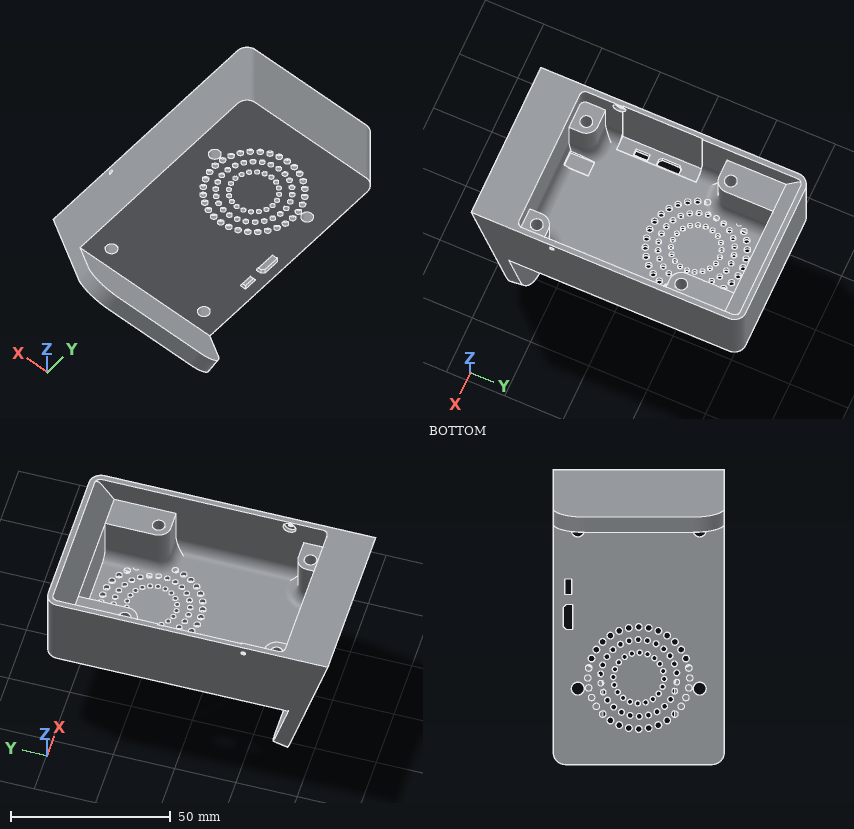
import cadquery as cq
import math


WIDTH = 53.7
LENGTH = 92.5
TOTAL_HEIGHT = 51.9
BOX_HEIGHT = 27.0
BACK_CORNER_RADIUS = 4.0

TILT = math.radians(16)
PLATE_THICKNESS = 5.0
PLATE_CORNER_RADIUS = 10.0

WALL = 1.8
FLOOR_THICKNESS = 2.0
FRONT_WALL = 14.9
CAVITY_CORNER_RADIUS = 1.85
FLOOR_FILLET = 4.0
POST_TOP_DEPTH = 8.6
BACK_SLOPE_RUN = 5.8

POST_RADIUS = 4.0
POST_HOLE_DIAMETER = 4.0
POST_SPACING_X = 38.2
FRONT_POST_Y = 19.05
POST_SPACING_Y = 49.6

GRILLE_Y = 65.3
GRILLE_RINGS = [
    (16.0, 2.0, 32, 0.0),
    (12.0, 1.8, 26, -0.8),
    (7.95, 1.6, 20, 2.2),
]

RECESS_WALL_BITE = 0.3
RECESS_WIDTH = 4.9
RECESS_LENGTH = 27.3
RECESS_Y = 42.45
RECESS_DEPTH = 0.3
LARGE_PORT_WIDTH = 2.9
LARGE_PORT_LENGTH = 7.8
LARGE_PORT_X = -22.2
LARGE_PORT_Y = 46.15
LARGE_PORT_CHAMFER = 0.9
SMALL_PORT_WIDTH = 2.1
SMALL_PORT_LENGTH = 4.8
SMALL_PORT_X = -22.1
SMALL_PORT_Y = 36.7

POCKET_WIDTH = 5.0
POCKET_LENGTH = 8.3
POCKET_X = -11.2
POCKET_Y = 20.2
POCKET_DEPTH = 0.5

SIDE_HOLE_DIAMETER = 1.4
SIDE_BORE_DIAMETER = 4.2
SIDE_BORE_DEPTH = 1.2
SIDE_HOLE_Y = 27.65
SIDE_HOLE_DEPTH = 2.8

FLOOR_Z = FLOOR_THICKNESS - BOX_HEIGHT
CAVITY_WIDTH = WIDTH - 2 * WALL
CAVITY_BACK = LENGTH - WALL
LOWER_BACK = CAVITY_BACK - BACK_SLOPE_RUN
BACK_POST_Y = FRONT_POST_Y + POST_SPACING_Y


def block(x_size, y_min, y_max, z_min, z_max, x_center=0.0):
    """Box given by its width about x_center and its limits in Y and Z."""
    return (
        cq.Workplane("XY", origin=(x_center, (y_min + y_max) / 2, z_min))
        .rect(x_size, y_max - y_min)
        .extrude(z_max - z_min)
    )


def block_at(x, y, x_size, y_size, z_min, z_max):
    """Box centred on (x, y)."""
    return block(x_size, y - y_size / 2, y + y_size / 2, z_min, z_max, x)


def outer_body():
    """Solid box and foot in one side profile, with the round corners."""
    tip_y = TOTAL_HEIGHT * math.tan(TILT)
    inner_tip = (
        tip_y + PLATE_THICKNESS * math.cos(TILT),
        -TOTAL_HEIGHT + PLATE_THICKNESS * math.sin(TILT),
    )
    foot_root_y = BOX_HEIGHT * math.tan(TILT) + PLATE_THICKNESS / math.cos(TILT)
    profile = [
        (0, 0),
        (LENGTH, 0),
        (LENGTH, -BOX_HEIGHT),
        (foot_root_y, -BOX_HEIGHT),
        inner_tip,
        (tip_y, -TOTAL_HEIGHT),
    ]
    body = cq.Workplane("YZ").polyline(profile).close().extrude(WIDTH / 2, both=True)
    body = body.edges("|Z and >Y").fillet(BACK_CORNER_RADIUS)
    across_plate = cq.Vector(0, math.cos(TILT), math.sin(TILT))
    foot_edges = body.edges(cq.selectors.ParallelDirSelector(across_plate))
    return foot_edges.fillet(PLATE_CORNER_RADIUS)


def upper_cavity():
    """Open space above the posts, with a sloped back wall."""
    space = block(CAVITY_WIDTH, FRONT_WALL, CAVITY_BACK, -POST_TOP_DEPTH, 0)
    space = space.edges("|Z").fillet(CAVITY_CORNER_RADIUS)
    slope = (
        cq.Workplane("YZ")
        .polyline([(CAVITY_BACK, 0), (CAVITY_BACK, -POST_TOP_DEPTH), (LOWER_BACK, -POST_TOP_DEPTH)])
        .close()
        .extrude(WIDTH / 2, both=True)
    )
    return space.cut(slope)


def post_footprint(side, y_center, y_wall):
    """Block from a side wall and an end wall to a round corner about the screw hole."""
    x_inner = side * (POST_SPACING_X / 2 - POST_RADIUS)
    x_wall = side * WIDTH / 2
    y_inner = y_center + math.copysign(POST_RADIUS, y_center - y_wall)
    post = (
        cq.Workplane("XY", origin=(0, 0, FLOOR_Z))
        .moveTo(x_inner, y_wall)
        .lineTo(x_wall, y_wall)
        .lineTo(x_wall, y_inner)
        .lineTo(x_inner, y_inner)
        .close()
        .extrude(-POST_TOP_DEPTH - FLOOR_Z)
    )
    corner = cq.selectors.NearestToPointSelector((x_inner, y_inner, (FLOOR_Z - POST_TOP_DEPTH) / 2))
    return post.edges("|Z").edges(corner).fillet(POST_RADIUS)


def lower_cavity():
    """Space between the posts; its floor edges are round except along the back wall."""
    space = block(CAVITY_WIDTH, FRONT_WALL, LOWER_BACK, FLOOR_Z, -POST_TOP_DEPTH)
    for side in (-1, 1):
        space = space.cut(post_footprint(side, FRONT_POST_Y, FRONT_WALL))
        space = space.cut(post_footprint(side, BACK_POST_Y, LOWER_BACK))
    return space.faces("<Z").edges("not >Y").fillet(FLOOR_FILLET)


def post_holes():
    return (
        cq.Workplane("XY", origin=(0, (FRONT_POST_Y + BACK_POST_Y) / 2, -BOX_HEIGHT))
        .rect(POST_SPACING_X, POST_SPACING_Y, forConstruction=True)
        .vertices()
        .circle(POST_HOLE_DIAMETER / 2)
        .extrude(BOX_HEIGHT - POST_TOP_DEPTH)
    )


def grille_holes():
    """Rings of holes through the floor plate only, so the floor fillets cover some of them."""
    floor_bottom = cq.Workplane("XY", origin=(0, GRILLE_Y, -BOX_HEIGHT))
    holes = cq.Workplane("XY")
    for ring_radius, diameter, count, turn in GRILLE_RINGS:
        ring = (
            floor_bottom.polarArray(ring_radius, 90 + turn, 360, count)
            .circle(diameter / 2)
            .extrude(FLOOR_THICKNESS)
        )
        holes = holes.add(ring)
    return holes.combine()


def connector_recess():
    """Recess down the -X wall and slightly into the floor, with the two openings below it."""
    recess_x = -CAVITY_WIDTH / 2 - RECESS_WALL_BITE + RECESS_WIDTH / 2
    recess = block_at(recess_x, RECESS_Y, RECESS_WIDTH, RECESS_LENGTH, FLOOR_Z - RECESS_DEPTH, 0)
    large_port = block_at(
        LARGE_PORT_X, LARGE_PORT_Y, LARGE_PORT_WIDTH, LARGE_PORT_LENGTH, -BOX_HEIGHT, FLOOR_Z
    )
    large_port = large_port.edges("|Z and <X").chamfer(LARGE_PORT_CHAMFER)
    small_port = block_at(
        SMALL_PORT_X, SMALL_PORT_Y, SMALL_PORT_WIDTH, SMALL_PORT_LENGTH, -BOX_HEIGHT, FLOOR_Z
    )
    return recess.union(large_port).union(small_port)


def floor_pocket():
    return block_at(
        POCKET_X, POCKET_Y, POCKET_WIDTH, POCKET_LENGTH, FLOOR_Z - POCKET_DEPTH, FLOOR_Z + FLOOR_FILLET
    )


def side_holes():
    """Fine through holes on one line across the box, each with a wider bore on the inside."""
    across = cq.Workplane("YZ").center(SIDE_HOLE_Y, -SIDE_HOLE_DEPTH)
    through = across.circle(SIDE_HOLE_DIAMETER / 2).extrude(WIDTH / 2, both=True)
    bores = across.circle(SIDE_BORE_DIAMETER / 2).extrude(CAVITY_WIDTH / 2 + SIDE_BORE_DEPTH, both=True)
    return through.union(bores)


result = (
    outer_body()
    .cut(upper_cavity())
    .cut(lower_cavity())
    .cut(post_holes())
    .cut(grille_holes())
    .cut(connector_recess())
    .cut(floor_pocket())
    .cut(side_holes())
)